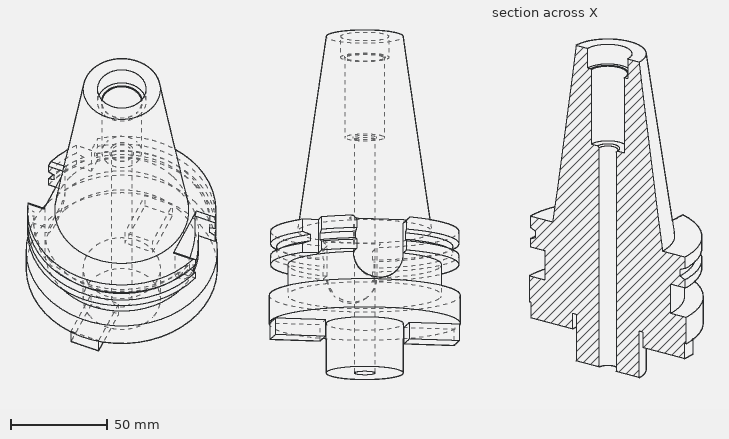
import cadquery as cq

total_height = 177.8
flange_bottom = 26.1
flange_top = 41.0
collar_bottom = 57.2
collar_top = 74.8
taper_base = 75.9

pilot_radius = 20.0
flange_radius = 49.8
neck_radius = 40.0
collar_radius = 49.0
taper_large_radius = 34.8
taper_small_radius = 20.0

groove_radius = 45.9
groove_lower_edge = 62.0
groove_upper_edge = 68.3
groove_side_rise = 1.5

slot_width = 26.3
slot_straight_bottom = 56.9
slot_chamfer = 2.0
left_slot_floor = 37.7
right_slot_floor = 35.7

notch_inset = 30.2

key_width = 15.6
key_height = 8.7
key_inner = 22.2
key_outer = 48.7

entry_radius = 12.6
entry_depth = 11.0
thread_radius = 10.3
thread_depth = 53.3
thread_chamfer = 0.4
through_radius = 5.3
through_chamfer = 0.9


def make_body():
    """Revolve the pilot, flange, neck, grooved collar and taper."""
    profile = [
        (0, 0),
        (pilot_radius, 0),
        (pilot_radius, flange_bottom),
        (flange_radius, flange_bottom),
        (flange_radius, flange_top),
        (neck_radius, flange_top),
        (neck_radius, collar_bottom),
        (collar_radius, collar_bottom),
        (collar_radius, groove_lower_edge),
        (groove_radius, groove_lower_edge + groove_side_rise),
        (groove_radius, groove_upper_edge - groove_side_rise),
        (collar_radius, groove_upper_edge),
        (collar_radius, collar_top),
        (taper_large_radius, collar_top),
        (taper_large_radius, taper_base),
        (taper_small_radius, total_height),
        (0, total_height),
    ]
    return cq.Workplane("XZ").polyline(profile).close().revolve(360, (0, 0), (0, 1))


def make_bore():
    """Revolve the bore: wide entry, threaded length and through hole."""
    entry_floor = total_height - entry_depth
    thread_floor = total_height - thread_depth
    profile = [
        (0, 0),
        (through_radius, 0),
        (through_radius, thread_floor - through_chamfer),
        (through_radius + through_chamfer, thread_floor),
        (thread_radius, thread_floor),
        (thread_radius, entry_floor - thread_chamfer),
        (thread_radius + thread_chamfer, entry_floor),
        (entry_radius, entry_floor),
        (entry_radius, total_height),
        (0, total_height),
    ]
    return cq.Workplane("XZ").polyline(profile).close().revolve(360, (0, 0), (0, 1))


def make_slot(floor, side):
    """Round-bottomed slot outward from the floor; side is -1 or +1 along X."""
    half_width = slot_width / 2
    mouth_half_width = half_width + slot_chamfer
    chamfer_bottom = collar_top - slot_chamfer
    return (
        cq.Workplane("YZ", origin=(side * floor, 0, 0))
        .moveTo(-half_width, slot_straight_bottom)
        .threePointArc((0, slot_straight_bottom - half_width), (half_width, slot_straight_bottom))
        .lineTo(half_width, chamfer_bottom)
        .lineTo(mouth_half_width, collar_top)
        .lineTo(-mouth_half_width, collar_top)
        .lineTo(-half_width, chamfer_bottom)
        .close()
        .extrude(side * (flange_radius - floor))
    )


def make_notch():
    """Square corner cut through the full collar height at -X, +Y."""
    size = flange_radius - notch_inset
    return cq.Workplane("XY").box(size, size, collar_top - collar_bottom, centered=False).translate(
        (-flange_radius, notch_inset, collar_bottom)
    )


def make_key(side):
    """Drive key under the flange; side is -1 or +1 along Y."""
    return cq.Workplane("XY").box(key_width, key_outer - key_inner, key_height).translate(
        (0, side * (key_inner + key_outer) / 2, flange_bottom - key_height / 2)
    )


result = make_body()
for key_side in (-1, 1):
    result = result.union(make_key(key_side))
for slot_floor, slot_side in ((left_slot_floor, -1), (right_slot_floor, 1)):
    result = result.cut(make_slot(slot_floor, slot_side))
result = result.cut(make_notch()).cut(make_bore())